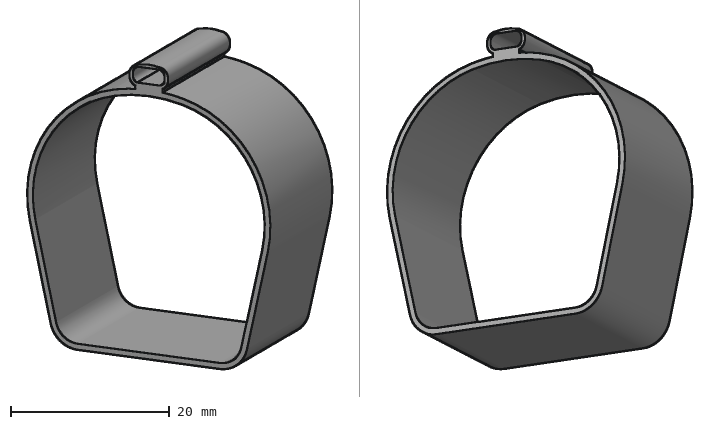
import cadquery as cq
import math

width = 33.95
depth = 18.0
height = 38.65

band_wall = 0.8
shoulder_radius = 15.65
shoulder_height = 19.5
crown_half_width = 4.95
side_taper = math.radians(12.5)
base_corner_radius = 3.9

loop_half_width = 2.7
loop_wall = 0.5
loop_corner_radius = 1.35
loop_crown_rise = 0.15
loop_side_bottom = 36.9
loop_floor = 36.1
passage_top = 38.18
neck_half_width = 1.9

shoulder_x = width / 2 - shoulder_radius
crown_angle = math.asin((crown_half_width - shoulder_x) / shoulder_radius)
crown_radius = crown_half_width / math.sin(crown_angle)
crown_end_z = shoulder_height + shoulder_radius * math.cos(crown_angle)
crown_top = crown_end_z + crown_radius * (1 - math.cos(crown_angle))
side_top_x = shoulder_x + shoulder_radius * math.cos(side_taper)
side_top_z = shoulder_height - shoulder_radius * math.sin(side_taper)
base_half_width = side_top_x - side_top_z * math.tan(side_taper)


def point_on_arc(center_x, center_z, radius, angle):
    return center_x + radius * math.cos(angle), center_z + radius * math.sin(angle)


def mirrored(point):
    return -point[0], point[1]


def extrude_along_depth(profile):
    """Extrude an XZ profile from the front face, y = 0, to the back face."""
    return profile.extrude(-depth)


def make_band():
    shoulder_mid_angle = (math.pi / 2 - crown_angle - side_taper) / 2
    shoulder_mid = point_on_arc(shoulder_x, shoulder_height, shoulder_radius, shoulder_mid_angle)
    crown_end = (crown_half_width, crown_end_z)
    side_top = (side_top_x, side_top_z)
    profile = (
        cq.Workplane("XZ")
        .moveTo(-base_half_width, 0)
        .lineTo(base_half_width, 0)
        .lineTo(*side_top)
        .threePointArc(shoulder_mid, crown_end)
        .threePointArc((0, crown_top), mirrored(crown_end))
        .threePointArc(mirrored(shoulder_mid), mirrored(side_top))
        .close()
    )
    outer = extrude_along_depth(profile).edges("|Y and <Z").fillet(base_corner_radius)
    opening = outer.faces("<Y").wires().toPending().offset2D(-band_wall).extrude(-depth, combine=False)
    return outer.cut(opening)


def make_loop_body():
    """Solid outer form of the loop, with a crowned top and rounded corners."""
    radius = loop_corner_radius
    center_x = loop_half_width - radius
    upper_z = height - loop_crown_rise - radius
    top_corner = (center_x, upper_z + radius)
    upper_mid = point_on_arc(center_x, upper_z, radius, math.pi / 4)
    lower_mid = point_on_arc(center_x, loop_side_bottom, radius, -math.pi / 4)
    bottom_corner = (center_x, loop_side_bottom - radius)
    profile = (
        cq.Workplane("XZ")
        .moveTo(*mirrored(bottom_corner))
        .lineTo(*bottom_corner)
        .threePointArc(lower_mid, (loop_half_width, loop_side_bottom))
        .lineTo(loop_half_width, upper_z)
        .threePointArc(upper_mid, top_corner)
        .threePointArc((0, height), mirrored(top_corner))
        .threePointArc(mirrored(upper_mid), (-loop_half_width, upper_z))
        .lineTo(-loop_half_width, loop_side_bottom)
        .threePointArc(mirrored(lower_mid), mirrored(bottom_corner))
        .close()
    )
    return extrude_along_depth(profile)


def block(half_width, bottom, top):
    corners = [(-half_width, bottom), (half_width, bottom), (half_width, top), (-half_width, top)]
    return extrude_along_depth(cq.Workplane("XZ").polyline(corners).close())


def make_passage():
    """Rounded opening through the loop, cut off level at the loop floor."""
    radius = loop_corner_radius - loop_wall
    bottom = loop_side_bottom - radius
    opening = block(loop_half_width - loop_wall, bottom, passage_top).edges("|Y").fillet(radius)
    return opening.cut(block(loop_half_width, crown_top, loop_floor))


neck = block(neck_half_width, crown_top - band_wall / 2, loop_floor)

result = make_band().union(neck).union(make_loop_body()).cut(make_passage())